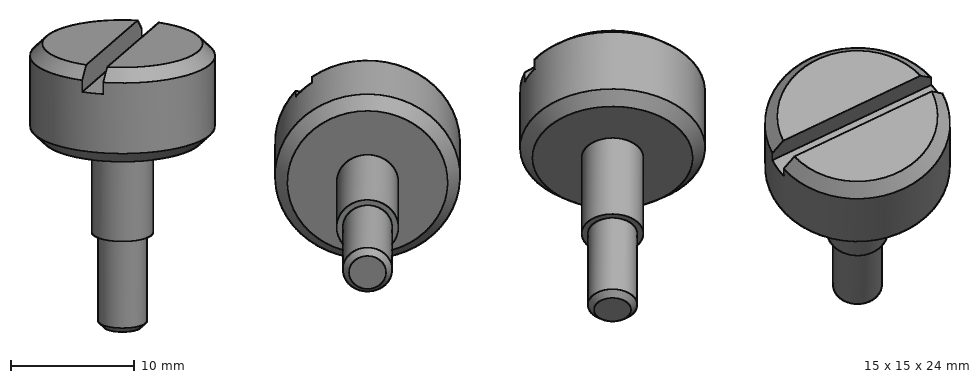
import cadquery as cq

total_length = 24.0
section_length = total_length / 3

head_diameter = 15.0
shoulder_diameter = head_diameter / 3
tip_diameter = 4.0

head_chamfer = 1.0
tip_chamfer = 0.5

slot_width = 1.8
slot_depth = section_length / 4


def cylinder_section(diameter, bottom):
    """Cylinder of one section length, standing on the given height."""
    return cq.Workplane("XY").workplane(offset=bottom).circle(diameter / 2).extrude(section_length)


tip = cylinder_section(tip_diameter, 0).faces("<Z").chamfer(tip_chamfer)

shoulder = cylinder_section(shoulder_diameter, section_length)

head = cylinder_section(head_diameter, 2 * section_length).faces("<Z or >Z").chamfer(head_chamfer)

slot = (
    cq.Workplane("XY")
    .workplane(offset=total_length - slot_depth)
    .rect(slot_width, head_diameter)
    .extrude(slot_depth)
)

result = tip.union(shoulder).union(head).cut(slot)